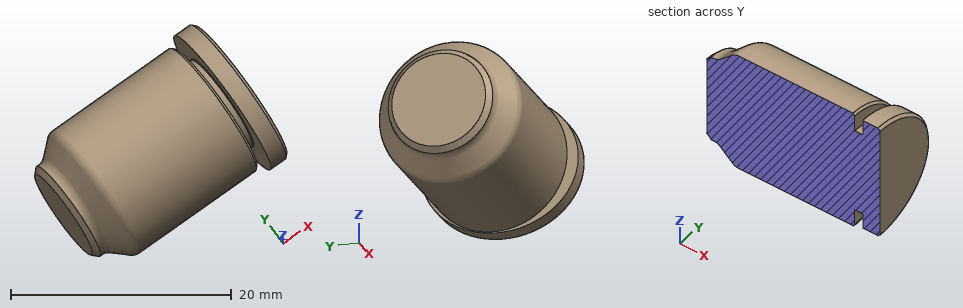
import cadquery as cq
import math

TOTAL_LENGTH = 19.8
FLANGE_LENGTH = 2.0
NECK_LENGTH = 0.9
TIP_LENGTH = 0.81
FLANGE_START = TOTAL_LENGTH - FLANGE_LENGTH
BODY_END = FLANGE_START - NECK_LENGTH

BODY_DIAMETER = 13.6
TIP_DIAMETER = 9.98
NECK_DIAMETER = 9.58

TIP_CHAMFER = 0.51
BODY_CHAMFER = 0.22
NECK_CHAMFER = 0.08

CONE_ANGLE = 41.5
BLEND_RADIUS = 1.0

FLANGE_WIDTH = 15.0
FLANGE_HEIGHT = 13.0
FLANGE_CHAMFER = 0.28


def turned_body():
    """Body, conical nose and neck, revolved about X as one profile."""
    body_radius = BODY_DIAMETER / 2
    tip_radius = TIP_DIAMETER / 2
    neck_radius = NECK_DIAMETER / 2

    angle = math.radians(CONE_ANGLE)
    blend_run = BLEND_RADIUS * math.sin(angle)
    blend_rise = BLEND_RADIUS * (1 - math.cos(angle))
    cone_rise = body_radius - tip_radius - 2 * blend_rise
    cone_run = cone_rise / math.tan(angle)

    cone_start = (TIP_LENGTH + blend_run, tip_radius + blend_rise)
    cone_end = (cone_start[0] + cone_run, cone_start[1] + cone_rise)
    body_start = (cone_end[0] + blend_run, body_radius)

    profile = (
        cq.Workplane("XY")
        .lineTo(0, tip_radius - TIP_CHAMFER)
        .lineTo(TIP_CHAMFER, tip_radius)
        .lineTo(TIP_LENGTH, tip_radius)
        .tangentArcPoint(cone_start, relative=False)
        .lineTo(*cone_end)
        .tangentArcPoint(body_start, relative=False)
        .lineTo(BODY_END - BODY_CHAMFER, body_radius)
        .lineTo(BODY_END, body_radius - BODY_CHAMFER)
        .lineTo(BODY_END, neck_radius)
        .lineTo(FLANGE_START - NECK_CHAMFER, neck_radius)
        .lineTo(FLANGE_START, neck_radius + NECK_CHAMFER)
        .lineTo(FLANGE_START, 0)
        .close()
    )
    return profile.revolve(360, (0, 0, 0), (1, 0, 0))


def flange():
    """Elliptical end plate, wider along Y, with its outer rim chamfered."""
    plate = (
        cq.Workplane("YZ", origin=(FLANGE_START, 0, 0))
        .ellipse(FLANGE_WIDTH / 2, FLANGE_HEIGHT / 2)
        .extrude(FLANGE_LENGTH)
    )
    return plate.faces(">X").chamfer(FLANGE_CHAMFER)


result = turned_body().union(flange())